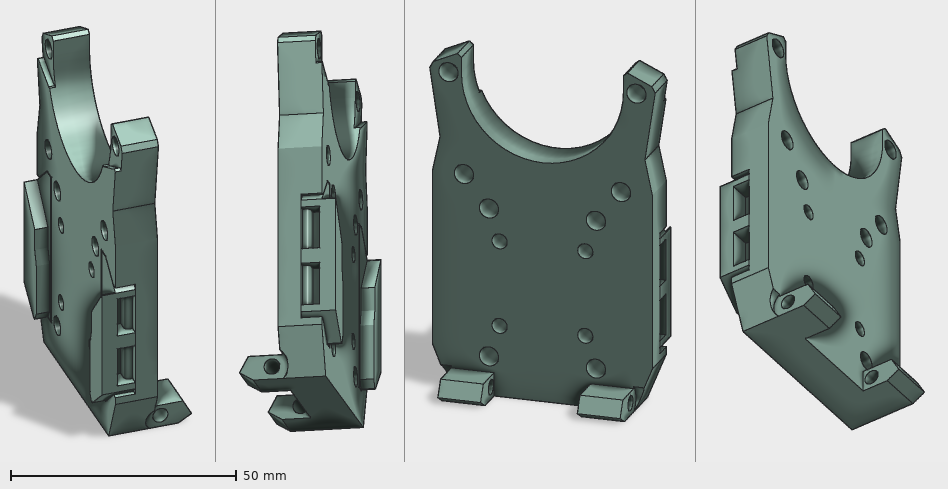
import cadquery as cq

PLATE_THICKNESS = 9.9
HEIGHT = 80.1
THROUGH = 2 * PLATE_THICKNESS

BASE_HALF_WIDTH = 21.3
BODY_HALF_WIDTH = 25.7
NECK_HALF_WIDTH = 23.9
HORN_HALF_WIDTH = 26.3
LOWER_CORNER_Z = 10.7
SHOULDER_Z = 51.7
NECK_Z = 60.0
HORN_Z = 76.05
HORN_CORNER = (25.5, 77.5)
HORN_TIP_X = 19.85
TIP_CHAMFER_Z = 79.25

OPENING_RADIUS = 18.9
OPENING_Z = 75.4

STEP_DEPTH = 1.4
STEP_INNER = (18.1, 68.1)
STEP_BEND = (24.2, 71.0)
STEP_PEAK = (25.0, 71.6)
STEP_OUTER = (25.6, 71.1)

LARGE_HOLE_DIAMETER = 4.5
SMALL_HOLE_DIAMETER = 3.5
HORN_HOLE_X = 21.9
SHOULDER_HOLE_X = 18.3
SHOULDER_HOLE_Z = 51.7
PATTERN_Z = 26.75
LARGE_PATTERN = (25.0, 35.0)
SMALL_PATTERN = (20.0, 20.0)

LUG_INNER_X = 11.3
LUG_HEIGHT = 5.5
LUG_REACH = 9.6
LUG_TIP_Z = 1.85
LUG_LOWER_Y = 6.5
LUG_UPPER_Y = 7.6
HINGE_Y = 2.25
HINGE_Z = 2.9
HINGE_DIAMETER = 3.5
HINGE_CLEARANCE_RADIUS = 3.85

POCKET_DEPTH = 4.7
POCKET_INNER_X = 16.25
POCKET_HALF_HEIGHT = 18.9
POCKET_MOUTH_HALF_HEIGHT = 14.25
SLOPE_START_X = 19.2
SLOPE = 0.89
SIDE_GAP = 0.6
END_GAP = 0.25

GRIP_HEIGHT = 3.1
GRIP_TOP_X = 25.5
GRIP_WAIST_X = 18.6
GRIP_WIDE_X = 17.5
GRIP_WAIST_TOP_Z = 31.4
GRIP_WAIST_BOTTOM_Z = 26.0
GRIP_WIDE_TOP_Z = 22.4
GRIP_WIDE_BOTTOM_Z = 10.0

WINDOW_WIDTH = 4.25
WINDOW_HEIGHT = 9.6
WINDOW_SPACING = 13.0
WINDOW_DEPTH = 1.9
WINDOW_LIP = 1.8
LIP_RADIUS = 1.05
SLOT_DEPTH = 4.8

FRONT_Y = -PLATE_THICKNESS
POCKET_FLOOR_Y = FRONT_Y + POCKET_DEPTH


def prism(outline, back_y, length):
    """Extrude an (x, z) outline from back_y toward the front."""
    return cq.Workplane("XZ", origin=(0, back_y, 0)).polyline(outline).close().extrude(length)


def mirrored_pair(shape):
    return shape.union(shape.mirror("YZ"))


def slope_z(x, half_height):
    """Height above PATTERN_Z of the sloped side that leaves half_height at SLOPE_START_X."""
    return half_height - SLOPE * (x - SLOPE_START_X)


def plate_blank():
    half = [
        (0, 0),
        (BASE_HALF_WIDTH, 0),
        (BODY_HALF_WIDTH, LOWER_CORNER_Z),
        (BODY_HALF_WIDTH, SHOULDER_Z),
        (NECK_HALF_WIDTH, NECK_Z),
        (HORN_HALF_WIDTH, HORN_Z),
        HORN_CORNER,
        (HORN_TIP_X, HEIGHT),
        (OPENING_RADIUS, TIP_CHAMFER_Z),
        (OPENING_RADIUS, OPENING_Z),
        (0, OPENING_Z),
    ]
    blank = mirrored_pair(prism(half, 0, PLATE_THICKNESS))
    opening = cq.Workplane("XZ").center(0, OPENING_Z).circle(OPENING_RADIUS).extrude(PLATE_THICKNESS)
    return blank.cut(opening)


def horn_steps():
    outline = [
        (0, STEP_INNER[1]),
        STEP_INNER,
        STEP_BEND,
        STEP_PEAK,
        STEP_OUTER,
        (HORN_HALF_WIDTH, STEP_OUTER[1]),
        (HORN_HALF_WIDTH, HEIGHT),
        (0, HEIGHT),
    ]
    return mirrored_pair(prism(outline, FRONT_Y + STEP_DEPTH, STEP_DEPTH))


def through_holes():
    plane = cq.Workplane("XZ", origin=(0, PLATE_THICKNESS / 2, 0))
    paired = [
        (side * x, z)
        for side in (-1, 1)
        for x, z in ((HORN_HOLE_X, OPENING_Z), (SHOULDER_HOLE_X, SHOULDER_HOLE_Z))
    ]
    large = plane.pushPoints(paired).circle(LARGE_HOLE_DIAMETER / 2).extrude(THROUGH)
    pattern = plane.center(0, PATTERN_Z)
    large = large.union(
        pattern.rect(*LARGE_PATTERN, forConstruction=True)
        .vertices().circle(LARGE_HOLE_DIAMETER / 2).extrude(THROUGH)
    )
    small = (
        pattern.rect(*SMALL_PATTERN, forConstruction=True)
        .vertices().circle(SMALL_HOLE_DIAMETER / 2).extrude(THROUGH)
    )
    return large.union(small)


def side_pockets():
    mouth = POCKET_MOUTH_HALF_HEIGHT
    mouth_x = SLOPE_START_X + (POCKET_HALF_HEIGHT - mouth) / SLOPE
    outline = [
        (POCKET_INNER_X, PATTERN_Z - POCKET_HALF_HEIGHT),
        (SLOPE_START_X, PATTERN_Z - POCKET_HALF_HEIGHT),
        (mouth_x, PATTERN_Z - mouth),
        (BODY_HALF_WIDTH, PATTERN_Z - mouth),
        (BODY_HALF_WIDTH, PATTERN_Z + mouth),
        (mouth_x, PATTERN_Z + mouth),
        (SLOPE_START_X, PATTERN_Z + POCKET_HALF_HEIGHT),
        (POCKET_INNER_X, PATTERN_Z + POCKET_HALF_HEIGHT),
    ]
    return mirrored_pair(prism(outline, POCKET_FLOOR_Y, POCKET_DEPTH))


def hinge_lugs():
    lug = (
        cq.Workplane("YZ", origin=(LUG_INNER_X, 0, 0))
        .polyline([
            (0, 0),
            (LUG_LOWER_Y, 0),
            (LUG_REACH, LUG_TIP_Z),
            (LUG_UPPER_Y, LUG_HEIGHT),
            (0, LUG_HEIGHT),
        ])
        .close()
        .extrude(BASE_HALF_WIDTH - LUG_INNER_X)
        .faces(">X").workplane(origin=(0, HINGE_Y, HINGE_Z))
        .hole(HINGE_DIAMETER)
    )
    return mirrored_pair(lug)


def hinge_clearance():
    """Round relief in the plate corners, outside the lugs."""
    relief = (
        cq.Workplane("YZ", origin=(BASE_HALF_WIDTH, 0, 0))
        .center(HINGE_Y, HINGE_Z)
        .circle(HINGE_CLEARANCE_RADIUS)
        .extrude(BODY_HALF_WIDTH - BASE_HALF_WIDTH)
    )
    return mirrored_pair(relief)


def make_plate():
    return (
        plate_blank()
        .cut(horn_steps())
        .cut(through_holes())
        .cut(side_pockets())
        .cut(hinge_clearance())
        .union(hinge_lugs())
    )


def insert_window(center_z):
    """Window open to the insert's back, leading over a rounded lip into a deeper slot."""
    floor_x = BODY_HALF_WIDTH - WINDOW_DEPTH
    return (
        cq.Workplane("XY", origin=(0, 0, center_z - WINDOW_HEIGHT / 2))
        .moveTo(BODY_HALF_WIDTH, POCKET_FLOOR_Y)
        .lineTo(floor_x, POCKET_FLOOR_Y)
        .lineTo(floor_x, POCKET_FLOOR_Y - WINDOW_LIP + LIP_RADIUS)
        .radiusArc((floor_x - LIP_RADIUS, POCKET_FLOOR_Y - WINDOW_LIP), LIP_RADIUS)
        .lineTo(BODY_HALF_WIDTH - SLOT_DEPTH, POCKET_FLOOR_Y - WINDOW_LIP)
        .lineTo(BODY_HALF_WIDTH - SLOT_DEPTH, POCKET_FLOOR_Y - WINDOW_WIDTH)
        .lineTo(BODY_HALF_WIDTH, POCKET_FLOOR_Y - WINDOW_WIDTH)
        .close()
        .extrude(WINDOW_HEIGHT)
    )


def make_right_insert():
    inner_x = POCKET_INNER_X + SIDE_GAP
    half_height = POCKET_HALF_HEIGHT - END_GAP
    outer_half_height = slope_z(BODY_HALF_WIDTH, half_height)
    bottom_z = PATTERN_Z - half_height
    base = prism(
        [
            (inner_x, bottom_z),
            (SLOPE_START_X, bottom_z),
            (BODY_HALF_WIDTH, PATTERN_Z - outer_half_height),
            (BODY_HALF_WIDTH, PATTERN_Z + outer_half_height),
            (SLOPE_START_X, PATTERN_Z + half_height),
            (inner_x, PATTERN_Z + half_height),
        ],
        POCKET_FLOOR_Y,
        POCKET_DEPTH,
    )
    grip = prism(
        [
            (GRIP_WAIST_X, bottom_z),
            (SLOPE_START_X, bottom_z),
            (BODY_HALF_WIDTH, PATTERN_Z - outer_half_height),
            (BODY_HALF_WIDTH, PATTERN_Z + outer_half_height),
            (GRIP_TOP_X, PATTERN_Z + slope_z(GRIP_TOP_X, half_height)),
            (GRIP_WAIST_X, GRIP_WAIST_TOP_Z),
            (GRIP_WAIST_X, GRIP_WAIST_BOTTOM_Z),
            (GRIP_WIDE_X, GRIP_WIDE_TOP_Z),
            (GRIP_WIDE_X, GRIP_WIDE_BOTTOM_Z),
        ],
        FRONT_Y,
        GRIP_HEIGHT,
    )
    insert = base.union(grip)
    for side in (-1, 1):
        insert = insert.cut(insert_window(PATTERN_Z + side * WINDOW_SPACING / 2))
    return insert


def make_insert(side):
    """Insert for the right (+1) or left (-1) pocket."""
    right_insert = make_right_insert()
    return right_insert if side > 0 else right_insert.mirror("YZ")


plate = make_plate()
inserts = [make_insert(side).val() for side in (-1, 1)]

result = cq.Compound.makeCompound([plate.val(), *inserts])